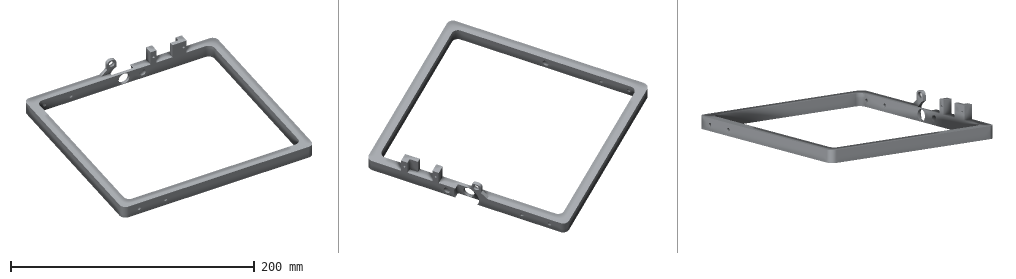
import cadquery as cq

length_x = 169.3
length_y = 179.9
rail_width = 8.1
rail_height = 11.0
corner_radius = 5.4
left_face = -length_x / 2
mid_height = rail_height / 2

post_top = 23.4
post_width = 5.8
corner_post_y = 55.8
single_post_y = 27.7
flange_length = 7.5
flange_thickness = 3.8
post_hole_diameter = 2.0
post_hole_z = 17.5

pivot_y = 0.0
relief_radius = 11.3
relief_depth = 5.2
pivot_hole_diameter = 10.0
far_pivot_diameter = 5.4
far_pivot_depth = 5.2

lug_y = -8.8
lug_width = 8.6
lug_corner_radius = 3.8
lug_top = 24.3
lug_thickness = 3.0
lug_hole_diameter = 5.4
lug_hole_z = 20.3
lug_shoulder_z = 15.8
lug_foot_y = -18.7

side_hole_y = 17.5
side_hole_diameter = 5.8
mount_hole_ys = (-49.8, -74.6)
mount_hole_diameter = 3.0


def x_cylinder(diameter, y, z, start_x, length):
    """Cylinder along +X that starts at start_x."""
    return cq.Workplane("YZ", origin=(start_x, y, z)).circle(diameter / 2).extrude(length)


def rounded_block(size_x, size_y):
    block = cq.Workplane("XY").rect(size_x, size_y).extrude(rail_height)
    return block.edges("|Z").fillet(corner_radius)


def frame():
    opening = rounded_block(length_x - 2 * rail_width, length_y - 2 * rail_width)
    return rounded_block(length_x, length_y).cut(opening)


def post(y):
    """Upright post, rooted in the rail and pierced along X."""
    body = cq.Workplane("XY").box(rail_width, post_width, post_top, centered=(False, True, False))
    body = body.translate((left_face, y, 0))
    return body.cut(x_cylinder(post_hole_diameter, y, post_hole_z, left_face, rail_width))


def corner_post_flange():
    """Thin wall along the inner side of the rail that makes the corner post L-shaped."""
    wall = cq.Workplane("XY").box(flange_thickness, flange_length, post_top, centered=False)
    wall_x = left_face + rail_width - flange_thickness
    return wall.translate((wall_x, corner_post_y - post_width / 2 - flange_length, 0))


def lug():
    """Lug with rounded top corners and a sloping foot, extending down into the rail."""
    outline = [
        (lug_y + lug_width / 2, mid_height),
        (lug_y + lug_width / 2, lug_top),
        (lug_y - lug_width / 2, lug_top),
        (lug_y - lug_width / 2, lug_shoulder_z),
        (lug_foot_y, rail_height),
        (lug_foot_y, mid_height),
    ]
    plate = cq.Workplane("YZ", origin=(left_face, 0, 0)).polyline(outline).close().extrude(lug_thickness)
    top_corners = plate.faces(">Z").edges("|X")
    return top_corners.fillet(lug_corner_radius)


result = frame().union(post(corner_post_y)).union(post(single_post_y))
result = result.union(corner_post_flange()).union(lug())

result = result.cut(x_cylinder(2 * relief_radius, pivot_y, mid_height, left_face, relief_depth))

result = result.cut(x_cylinder(pivot_hole_diameter, pivot_y, mid_height, left_face, rail_width))
result = result.cut(x_cylinder(side_hole_diameter, side_hole_y, mid_height, left_face, rail_width))
result = result.cut(x_cylinder(lug_hole_diameter, lug_y, lug_hole_z, left_face, lug_thickness))

right_inner_face = length_x / 2 - rail_width
result = result.cut(
    x_cylinder(far_pivot_diameter, pivot_y, mid_height, right_inner_face, far_pivot_depth)
)

for hole_y in mount_hole_ys:
    result = result.cut(x_cylinder(mount_hole_diameter, hole_y, mid_height, left_face, length_x))